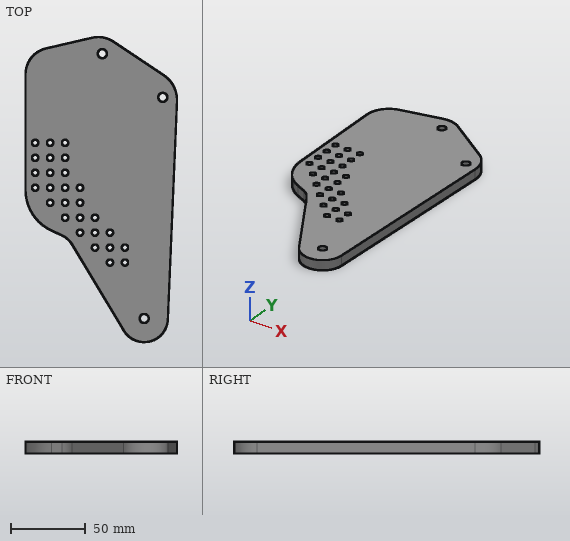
import cadquery as cq
import math

length = 204.5
width = 101.5
thickness = 8.0

foot_radius = 16.0
hip_radius = 20.0
crown_radius = 18.0
shoulder_radius = 18.0
belly_radius = 30.0
waist_radius = 15.0

foot_center = (79.5, foot_radius)
hip_center = (width - hip_radius, 162.0)
crown_center = (48.9, length - crown_radius)
shoulder_center = (shoulder_radius, 179.3)
belly_center = (belly_radius, 102.0)
waist_center = (18.4, 57.8)

mount_diameter = 6.0
mount_centers = [(51.5, 193.2), (92.0, 164.0), foot_center]

grid_diameter = 4.0
grid_pitch = 10.0
grid_left = 6.5
grid_top = 133.5
grid_rows = [(0, 2), (0, 2), (0, 2), (0, 3), (1, 3), (2, 4), (3, 5), (4, 6), (5, 6)]

corners = [
    (foot_center, foot_radius),
    (hip_center, hip_radius),
    (crown_center, crown_radius),
    (shoulder_center, shoulder_radius),
    (belly_center, belly_radius),
    (waist_center, -waist_radius),
]


def normal_angle(start, end):
    """Outward normal angle of the straight edge tangent to two corner arcs."""
    (start_x, start_y), start_radius = start
    (end_x, end_y), end_radius = end
    run = end_x - start_x
    rise = end_y - start_y
    return math.atan2(rise, run) - math.acos((start_radius - end_radius) / math.hypot(run, rise))


def arc_point(corner, angle):
    """Point on a corner arc where the outline has the given outward normal."""
    (x, y), radius = corner
    return (x + radius * math.cos(angle), y + radius * math.sin(angle))


def make_plate():
    """Plate whose outline runs along the corner arcs and their tangent edges."""
    angles = [
        normal_angle(corner, corners[(index + 1) % len(corners)])
        for index, corner in enumerate(corners)
    ]
    outline = cq.Workplane("XY").moveTo(*arc_point(corners[-1], angles[-1]))
    for index, corner in enumerate(corners):
        arrival = angles[index - 1]
        departure = angles[index]
        turn = math.remainder(departure - arrival, math.tau)
        outline = outline.lineTo(*arc_point(corner, arrival))
        outline = outline.threePointArc(
            arc_point(corner, arrival + turn / 2), arc_point(corner, departure)
        )
    return outline.close().extrude(thickness)


def cut_holes(plate, centers, diameter):
    """Drill through holes at the given centers."""
    drills = (
        cq.Workplane("XY").pushPoints(centers).circle(diameter / 2).extrude(thickness)
    )
    return plate.cut(drills)


grid_centers = [
    (grid_left + column * grid_pitch, grid_top - row * grid_pitch)
    for row, (first, last) in enumerate(grid_rows)
    for column in range(first, last + 1)
]

result = make_plate()
result = cut_holes(result, mount_centers, mount_diameter)
result = cut_holes(result, grid_centers, grid_diameter)